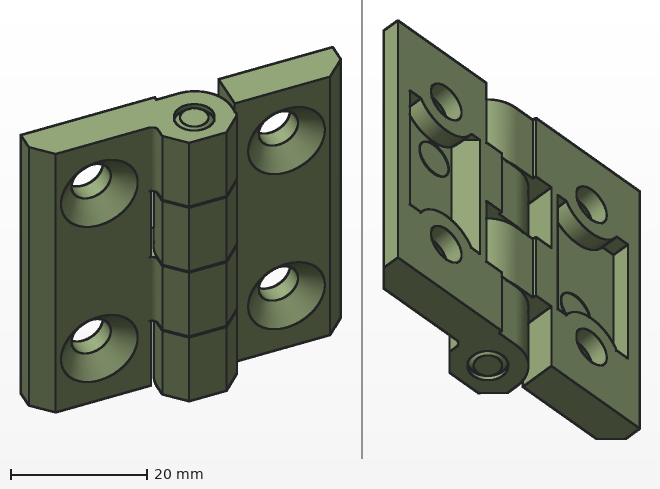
import cadquery as cq
import math

height = 50.0
half_height = height / 2
half_width = 25.0
leaf_thickness = 6.0
edge_chamfer = 3.0

axis_x = 6.5
barrel_depth = 11.5
barrel_half_width = 6.0
barrel_chamfer = 3.0
relief_depth = 0.6
relief_half_width = 3.5
barrel_round = axis_x - relief_depth
root_fillet = 1.0

knuckle_count = 4
knuckle_gap = 0.2
knuckle_length = (height - (knuckle_count - 1) * knuckle_gap) / knuckle_count
knuckle_pitch = knuckle_length + knuckle_gap
notch_edge = 6.7

pin_radius = 3.0
pin_chamfer = 0.9

hole_offset = 15.0
hole_radius = 3.15
countersink_depth = 3.0
hole_boss_radius = 6.0

pocket_depth = 3.0
pocket_inner = 8.0
pocket_outer = 22.5
pocket_half_height = 12.0

pad_radius = 3.0
pad_height = 0.1
pad_y = -14.6
pad_z = -5.4


def make_plate():
    """Flat plate of the leaf on the -Y side, with its chamfered long edge."""
    return (
        cq.Workplane("XY")
        .workplane(offset=-half_height)
        .moveTo(0, -notch_edge)
        .lineTo(0, -half_width)
        .lineTo(leaf_thickness - edge_chamfer, -half_width)
        .lineTo(leaf_thickness, -half_width + edge_chamfer)
        .lineTo(leaf_thickness, -notch_edge)
        .close()
        .extrude(height)
    )


def make_knuckle(bottom):
    """One knuckle with the web that joins it to the plate, starting at Z = bottom."""
    root_y = -barrel_half_width - root_fillet
    root_x = leaf_thickness + root_fillet
    round_y = barrel_half_width - barrel_round
    shoulder_x = barrel_depth - barrel_chamfer
    shoulder_y = barrel_half_width - barrel_chamfer
    diagonal = math.sqrt(0.5)
    fillet_middle = (root_x - root_fillet * diagonal, root_y + root_fillet * diagonal)
    round_middle = (axis_x - barrel_round * diagonal, round_y + barrel_round * diagonal)
    return (
        cq.Workplane("XY")
        .workplane(offset=bottom)
        .moveTo(0, root_y)
        .lineTo(leaf_thickness, root_y)
        .threePointArc(fillet_middle, (root_x, -barrel_half_width))
        .lineTo(shoulder_x, -barrel_half_width)
        .lineTo(barrel_depth, -shoulder_y)
        .lineTo(barrel_depth, shoulder_y)
        .lineTo(shoulder_x, barrel_half_width)
        .lineTo(axis_x, barrel_half_width)
        .threePointArc(round_middle, (relief_depth, round_y))
        .lineTo(relief_depth, -relief_half_width)
        .lineTo(0, -relief_half_width)
        .close()
        .extrude(knuckle_length)
    )


def make_hole_boss(z):
    """Round material left standing in the pocket around a screw hole."""
    return (
        cq.Workplane("YZ")
        .center(-hole_offset, z)
        .circle(hole_boss_radius)
        .extrude(pocket_depth)
    )


def make_pocket():
    """Pocket in the back face: 45 degree slope nearest the barrel, arcs around the holes."""
    pocket = (
        cq.Workplane("XY")
        .workplane(offset=-pocket_half_height)
        .moveTo(0, -pocket_inner)
        .lineTo(0, -pocket_outer)
        .lineTo(pocket_depth, -pocket_outer)
        .lineTo(pocket_depth, -pocket_inner - pocket_depth)
        .close()
        .extrude(2 * pocket_half_height)
    )
    for z in (-hole_offset, hole_offset):
        pocket = pocket.cut(make_hole_boss(z))
    return pocket


def make_pad():
    """Low round pad on the pocket floor."""
    return (
        cq.Workplane("YZ")
        .workplane(offset=pocket_depth - pad_height)
        .center(pad_y, pad_z)
        .circle(pad_radius)
        .extrude(pad_height)
    )


def make_screw_hole(z):
    """Through hole, countersunk from the +X face."""
    straight_depth = leaf_thickness - countersink_depth
    return (
        cq.Workplane("XY")
        .lineTo(hole_radius, 0)
        .lineTo(hole_radius, straight_depth)
        .lineTo(hole_radius + countersink_depth, leaf_thickness)
        .lineTo(0, leaf_thickness)
        .close()
        .revolve(360, (0, 0, 0), (0, 1, 0))
        .rotate((0, 0, 0), (0, 0, 1), -90)
        .translate((0, -hole_offset, z))
    )


def make_pin_bore():
    """Bore through the barrel that the pin fills."""
    return (
        cq.Workplane("XY")
        .workplane(offset=-half_height)
        .center(axis_x, 0)
        .circle(pin_radius)
        .extrude(height)
    )


def make_leaf():
    """The leaf on the -Y side, with the first knuckle at the top."""
    leaf = make_plate()
    for index in range(1, knuckle_count, 2):
        leaf = leaf.union(make_knuckle(-half_height + index * knuckle_pitch))
    leaf = leaf.cut(make_pocket()).union(make_pad())
    for z in (-hole_offset, hole_offset):
        leaf = leaf.cut(make_screw_hole(z))
    return leaf.cut(make_pin_bore())


def make_pin():
    """Pin flush with both ends of the barrel, chamfered at each end."""
    return (
        cq.Workplane("XY")
        .workplane(offset=-half_height)
        .center(axis_x, 0)
        .circle(pin_radius)
        .extrude(height)
        .edges("%CIRCLE")
        .chamfer(pin_chamfer)
    )


leaves = [make_leaf().rotate((0, 0, 0), (1, 0, 0), angle) for angle in (0, 180)]
pin = make_pin()

result = cq.Compound.makeCompound([*(leaf.val() for leaf in leaves), pin.val()])